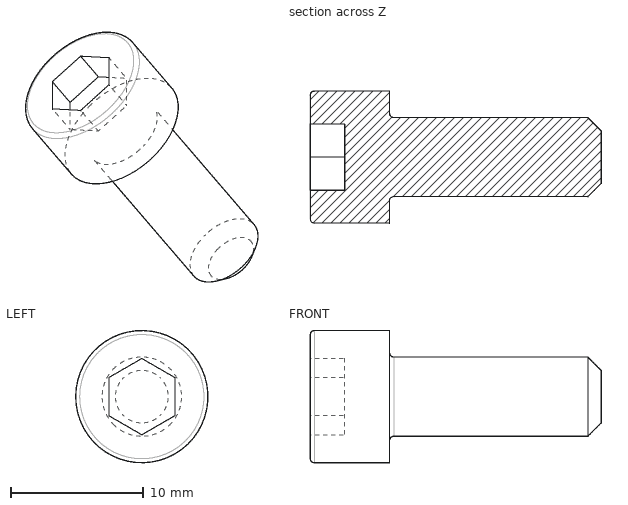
import cadquery as cq
import math

total_length = 22.0
head_diameter = 10.0
head_length = 6.0
shank_diameter = 6.0
head_edge_radius = 0.3
neck_fillet_radius = 0.3
tip_chamfer = 1.01
socket_across_flats = 5.0
socket_depth = 2.6


def make_head():
    """Cylindrical head with its outer end edge rounded."""
    head = cq.Workplane("YZ").circle(head_diameter / 2).extrude(head_length)
    return head.faces("<X").edges().fillet(head_edge_radius)


def make_shank():
    """Plain shank from the underside of the head to a chamfered tip."""
    shank = (
        cq.Workplane("YZ")
        .workplane(offset=head_length)
        .circle(shank_diameter / 2)
        .extrude(total_length - head_length)
    )
    return shank.faces(">X").edges().chamfer(tip_chamfer)


def make_neck_fillet():
    """Concave ring that blends the shank into the underside of the head."""
    shank_radius = shank_diameter / 2
    arc_inset = neck_fillet_radius * (1 - math.sqrt(0.5))
    fillet_end = head_length + neck_fillet_radius
    return (
        cq.Workplane("XY")
        .moveTo(head_length, 0)
        .lineTo(head_length, shank_radius + neck_fillet_radius)
        .threePointArc(
            (head_length + arc_inset, shank_radius + arc_inset),
            (fillet_end, shank_radius),
        )
        .lineTo(fillet_end, 0)
        .close()
        .revolve(360, (0, 0, 0), (1, 0, 0))
    )


def make_socket():
    """Hexagonal recess with two opposite corners pointing along Z."""
    across_corners = socket_across_flats / math.cos(math.radians(30))
    return (
        cq.Workplane("YZ")
        .transformed(rotate=(0, 0, 90))
        .polygon(6, across_corners)
        .extrude(socket_depth)
    )


result = make_head().union(make_shank()).union(make_neck_fillet()).cut(make_socket())